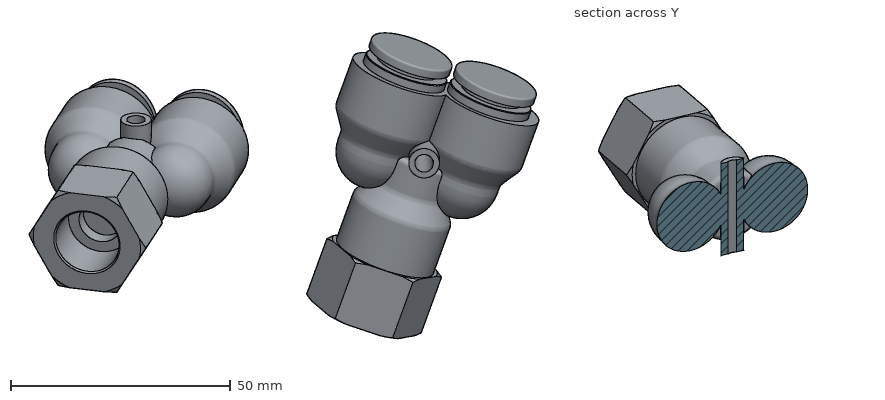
import cadquery as cq
import math

total_length = 62.9
total_width = 45.0

hex_across_flats = 24.0
hex_across_corners = hex_across_flats / math.cos(math.pi / 6)
hex_length = 15.0
hex_face_diameter = 25.35
hex_bevel_length = 0.5
thread_diameter = 15.0
thread_depth = 11.3
thread_chamfer = 0.4
throat_diameter = 10.0

barrel_diameter = 23.5
neck_diameter = 17.05
cone_length = 5.05
stem_taper_fillet = 2.0
outlet_taper_fillet = 2.3
barrel_offset = (total_width - barrel_diameter) / 2
stem_cone_start = 27.0
stem_end = 40.1
stem_end_fillet = 1.25
outlet_face = 57.0
outlet_cone_end = 39.95
dome_centre = 37.5
boss_diameter = 7.0
boss_hole_diameter = 4.2
boss_position = 41.95

outlet_offset = 10.2
collar_diameter = 19.6
collar_length = 2.0
collar_chamfer = 0.2
sleeve_neck_diameter = 14.2
sleeve_flange_width = 19.5
sleeve_flange_height = 22.4
sleeve_flange_thickness = 2.1
sleeve_flange_fillet = 0.45


def disc(diameter, start, length, offset=0.0):
    """Cylinder along +Y whose axis passes through X = offset."""
    return cq.Workplane("XZ", origin=(offset, start, 0)).circle(diameter / 2).extrude(-length)


def round_edges_at(solid, position, radius):
    """Fillet the circular edge lying in the plane Y = position."""
    tolerance = 0.005
    edges = solid.edges("%CIRCLE").filter(lambda edge: abs(edge.Center().y - position) < tolerance)
    return edges.fillet(radius)


def inlet_stem():
    """Barrel behind the nut, tapering to a neck with a rounded end."""
    barrel_radius = barrel_diameter / 2
    neck_radius = neck_diameter / 2
    stem_cone_end = stem_cone_start + cone_length
    stem = (
        cq.Workplane("XY")
        .moveTo(0, hex_length)
        .lineTo(barrel_radius, hex_length)
        .lineTo(barrel_radius, stem_cone_start)
        .lineTo(neck_radius, stem_cone_end)
        .lineTo(neck_radius, stem_end)
        .lineTo(0, stem_end)
        .close()
        .revolve(360, (0, 0, 0), (0, 1, 0))
    )
    stem = round_edges_at(stem, stem_cone_start, stem_taper_fillet)
    stem = round_edges_at(stem, stem_cone_end, stem_taper_fillet)
    return round_edges_at(stem, stem_end, stem_end_fillet)


def outlet_barrel(offset):
    """Outlet barrel, tapering to a neck that ends in a half-sphere."""
    barrel_radius = barrel_diameter / 2
    neck_radius = neck_diameter / 2
    outlet_cone_start = outlet_cone_end + cone_length
    arc_reach = neck_radius * math.sqrt(0.5)
    barrel = (
        cq.Workplane("XY")
        .moveTo(0, outlet_face)
        .lineTo(barrel_radius, outlet_face)
        .lineTo(barrel_radius, outlet_cone_start)
        .lineTo(neck_radius, outlet_cone_end)
        .lineTo(neck_radius, dome_centre)
        .threePointArc((arc_reach, dome_centre - arc_reach), (0, dome_centre - neck_radius))
        .close()
        .revolve(360, (0, 0, 0), (0, 1, 0))
    )
    barrel = round_edges_at(barrel, outlet_cone_start, outlet_taper_fillet)
    barrel = round_edges_at(barrel, outlet_cone_end, outlet_taper_fillet)
    return barrel.translate((offset, 0, 0))


def mounting_post(diameter):
    """Vertical cylinder in the crotch of the body, as tall as a barrel."""
    return (
        cq.Workplane("XY", origin=(0, boss_position, 0))
        .circle(diameter / 2)
        .extrude(barrel_diameter / 2, both=True)
    )


def make_body():
    """Y-shaped body: one inlet stem, two outlet barrels and a drilled mounting post."""
    body = inlet_stem()
    for side in (-1, 1):
        body = body.union(outlet_barrel(side * barrel_offset))
    body = body.union(mounting_post(boss_diameter))
    return body.cut(mounting_post(boss_hole_diameter))


def make_nut():
    """Hex nut with bevelled corners, a blind thread bore and a throat through to the body."""
    corner_reach = (hex_across_corners - hex_face_diameter) / 2
    bevelled_round = (
        disc(hex_across_corners, 0, hex_length)
        .faces("<Y or >Y")
        .edges()
        .chamfer(hex_bevel_length, corner_reach)
    )
    nut = cq.Workplane("XZ").polygon(6, hex_across_corners).extrude(-hex_length)
    nut = nut.intersect(bevelled_round)
    nut = nut.cut(disc(throat_diameter, 0, hex_length))
    nut = nut.cut(disc(thread_diameter, 0, thread_depth))
    thread_mouth = nut.faces("<Y").edges("%CIRCLE").edges(cq.selectors.RadiusNthSelector(0))
    return thread_mouth.chamfer(thread_chamfer)


def make_collar(offset):
    """Round collar seated on an outlet face."""
    collar = disc(collar_diameter, outlet_face, collar_length, offset)
    return collar.faces(">Y").edges().chamfer(collar_chamfer)


def make_sleeve(offset):
    """Release sleeve: round neck under an oval flange that is taller than wide."""
    flange_start = total_length - sleeve_flange_thickness
    neck_start = outlet_face + collar_length
    flange = (
        cq.Workplane("XZ", origin=(offset, flange_start, 0))
        .ellipse(sleeve_flange_width / 2, sleeve_flange_height / 2)
        .extrude(-sleeve_flange_thickness)
        .faces(">Y")
        .edges()
        .fillet(sleeve_flange_fillet)
    )
    neck = disc(sleeve_neck_diameter, neck_start, flange_start - neck_start, offset)
    return flange.union(neck)


body = make_body()
nut = make_nut()
collars = []
sleeves = []
for side in (-1, 1):
    collars.append(make_collar(side * outlet_offset).val())
    sleeves.append(make_sleeve(side * outlet_offset).val())

result = cq.Compound.makeCompound([body.val(), nut.val(), *collars, *sleeves])